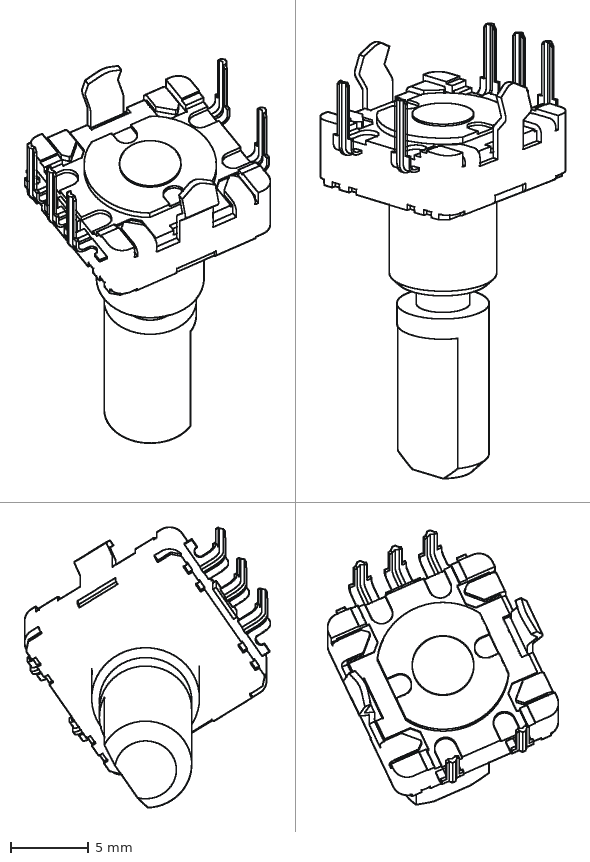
import cadquery as cq
import math


BODY_X = 11.7
BODY_Y = 12.05
BODY_TOP = 4.5
CORNER_RADIUS = 1.0
MID_STEP_Z = 4.35
MID_STEP_HALF = 3.85
DECK_Z = 3.95
DECK_HALF = 3.33
FOOT_HEIGHT = 0.38
FOOT_CHAMFER = 0.5

DISC_RADIUS = 4.3
DISC_FLAT_HALF = 3.67
DISC_TOP = 4.37
DISC_SLOT_DEPTH = 0.2
DISC_SLOT_REACH = 2.32
HUB_RADIUS = 2.0

SLOT_WIDTH = 1.45
DECK_SLOT_X = 2.1
DECK_SLOT_REACH = 4.3
DECK_SLOT_Z = 3.65
NOTCH_WIDTH = 0.62
NOTCH_DEPTH = 0.3
NOTCH_CENTERS = (2.52, 3.97)

SHEET = 0.4
FRAME_HALF_Y = 4.5
WINDOW_HALF_Y = 3.0
WINDOW_FLOOR = 3.1
ARM_TOP = 4.24
ARM_BEND = 0.53
ARM_OUTER_Y = 4.45
ARM_TIP_X = 3.4
ARM_TIP_Y = 3.95
ARM_TIP_WIDTH = 0.15
ARM_OUTER_BEVEL = 0.4
ARM_INNER_BEVEL = 0.93
POCKET_OUTER_Y = 4.68
POCKET_INNER_Y = 2.83
POCKET_INNER_X = 3.14
POCKET_CHAMFER = 0.5
POCKET_FLOOR = 3.8
GAP_FLOOR = 3.51
FRAME_NOTCH_HALF = 1.48
FRAME_NOTCH_TOP = 0.67
FRAME_NOTCH_DEPTH = 0.25
RELIEF_DEPTH = 0.5

TAB_WIDTH = 2.5
TAB_ELBOW_Z = 6.1
TAB_BEND_RADIUS = 0.5
TAB_FLARE_ANGLE = 41
TAB_RETURN_ANGLE = 18
TAB_TOP = 8.0
TAB_TIP_RADIUS = 0.95
TAB_TIP_BEVEL_ANGLE = 30
TAB_SPAN_X = 13.1

LEAD_SHEET = 0.18
LEAD_BOTTOM = 3.0
LEAD_BEND = 0.62
LEAD_TOP = 8.0
LEAD_PITCH = 2.5
FOOT_WIDTH = 1.55
MIDDLE_FOOT_WIDTH = 1.48
FOOT_TOP = 4.2
PIN_WIDTH = 0.9
PIN_SHOULDER = 0.25
BEAD_HEIGHT = 0.18
BEAD_BASE = 0.56
BEAD_TIP = 0.22
GROOVE_WIDTH = 0.5
GROOVE_DEPTH = 0.1
FRONT_LEAD_Y = 7.725
BACK_LEAD_Y = 7.225
CARRIER_END_X = 4.62
CARRIER_END_Y = 6.6
CARRIER_CUT_X = 3.63
CARRIER_CUT_RADIUS = 0.37
PAD_WIDTH = 2.46
PAD_BOTTOM = 2.26
PAD_TOP = 3.53
PAD_THICKNESS = 0.25

BUSHING_RADIUS = 3.5
BUSHING_FLARE = 0.35
BUSHING_ROOT_Z = 2.0
BUSHING_LENGTH = 7.0
BUSHING_CHAMFER = 0.5
NECK_RADIUS = 1.75
SHAFT_START = 8.6
SHAFT_END = 20.0
SHAFT_RADIUS = 3.0
SHAFT_CHAMFER = 1.0
FLAT_START = 10.0
FLAT_Y = 1.5

HALF_X = BODY_X / 2
HALF_Y = BODY_Y / 2
CORE_HALF_X = HALF_X - SHEET
TAB_OUTER_X = TAB_SPAN_X / 2


def box(x0, x1, y0, y1, z0, z1):
    return cq.Workplane("XY").box(x1 - x0, y1 - y0, z1 - z0, centered=False).translate((x0, y0, z0))


def prism(points, z0, z1):
    return cq.Workplane("XY").workplane(offset=z0).polyline(points).close().extrude(z1 - z0)


def cylinder(radius, z0, z1):
    return cq.Workplane("XY").workplane(offset=z0).circle(radius).extrude(z1 - z0)


def round_slot(width, reach, outer, z0, z1):
    """Slot along +X from a round end at x = reach out to x = outer."""
    center = reach + width / 2
    straight = box(center, outer, -width / 2, width / 2, z0, z1)
    return straight.union(cylinder(width / 2, z0, z1).translate((center, 0, 0)))


def at_corners(feature):
    """The four mirror copies of a feature placed in the +X +Y quadrant."""
    copies = feature
    for plane in ("YZ", "XZ"):
        copies = copies.union(copies.mirror(plane))
    return copies


def housing():
    body = box(-HALF_X, HALF_X, -HALF_Y, HALF_Y, 0, BODY_TOP).edges("|Z").fillet(CORNER_RADIUS)
    body = body.cut(box(-MID_STEP_HALF, MID_STEP_HALF, -HALF_Y, HALF_Y, MID_STEP_Z, BODY_TOP))
    body = body.cut(box(-DECK_HALF, DECK_HALF, -HALF_Y, HALF_Y, DECK_Z, BODY_TOP))
    body = body.cut(box(-MID_STEP_HALF, MID_STEP_HALF, -POCKET_OUTER_Y, POCKET_OUTER_Y, DECK_Z, BODY_TOP))
    body = body.cut(box(-HALF_X, HALF_X, -POCKET_INNER_Y, POCKET_INNER_Y, DECK_Z, BODY_TOP))

    pocket = prism(
        [
            (HALF_X, POCKET_OUTER_Y),
            (POCKET_INNER_X, POCKET_OUTER_Y),
            (POCKET_INNER_X, POCKET_INNER_Y + POCKET_CHAMFER),
            (POCKET_INNER_X + POCKET_CHAMFER, POCKET_INNER_Y),
            (HALF_X, POCKET_INNER_Y),
        ],
        POCKET_FLOOR,
        BODY_TOP,
    )
    gap = box(CORE_HALF_X, HALF_X, WINDOW_HALF_Y, POCKET_OUTER_Y, GAP_FLOOR, BODY_TOP)
    deck_slot = round_slot(SLOT_WIDTH, DECK_SLOT_REACH, HALF_Y, DECK_SLOT_Z, BODY_TOP)
    deck_slot = deck_slot.rotate((0, 0, 0), (0, 0, 1), 90).translate((DECK_SLOT_X, 0, 0))
    body = body.cut(at_corners(pocket)).cut(at_corners(gap)).cut(at_corners(deck_slot))

    for center in NOTCH_CENTERS:
        half = NOTCH_WIDTH / 2
        notch = box(center - half, center + half, HALF_Y - NOTCH_DEPTH, HALF_Y, 0, FOOT_HEIGHT)
        body = body.cut(at_corners(notch))

    corner_cut = prism(
        [
            (CORE_HALF_X, FRAME_HALF_Y),
            (HALF_X, FRAME_HALF_Y),
            (HALF_X, HALF_Y),
            (CORE_HALF_X - FOOT_CHAMFER, HALF_Y),
            (CORE_HALF_X, HALF_Y - FOOT_CHAMFER),
        ],
        0,
        FOOT_HEIGHT,
    )
    return body.cut(at_corners(corner_cut))


def disc():
    plate = cylinder(DISC_RADIUS, DECK_Z, DISC_TOP)
    plate = plate.intersect(
        box(-DISC_FLAT_HALF, DISC_FLAT_HALF, -DISC_RADIUS, DISC_RADIUS, DECK_Z, DISC_TOP)
    )
    slot = round_slot(SLOT_WIDTH, DISC_SLOT_REACH, DISC_RADIUS, DISC_TOP - DISC_SLOT_DEPTH, DISC_TOP)
    return plate.cut(slot).cut(slot.mirror("YZ")).union(cylinder(HUB_RADIUS, DECK_Z, BODY_TOP))


def frame_cuts():
    """Windows beside the tab, relief behind it, the bottom bend and its notch, on the +X side."""
    window = box(CORE_HALF_X, HALF_X, -WINDOW_HALF_Y, WINDOW_HALF_Y, WINDOW_FLOOR, BODY_TOP)
    relief = box(
        CORE_HALF_X - RELIEF_DEPTH, CORE_HALF_X, -FRAME_NOTCH_HALF, FRAME_NOTCH_HALF, GAP_FLOOR, DECK_Z
    )
    notch = box(
        HALF_X - FRAME_NOTCH_DEPTH, HALF_X, -FRAME_NOTCH_HALF, FRAME_NOTCH_HALF, 0, FRAME_NOTCH_TOP
    )
    bend = box(CORE_HALF_X, HALF_X, -FRAME_HALF_Y, FRAME_HALF_Y, 0, SHEET)
    bend = bend.cut(
        cq.Workplane("XZ")
        .center(CORE_HALF_X, SHEET)
        .circle(SHEET)
        .extrude(FRAME_HALF_Y, both=True)
    )
    return window.union(relief).union(notch).union(bend)


def frame_arm():
    """Pointed arm bent over the housing edge, in the +X +Y quadrant."""
    arm = prism(
        [
            (HALF_X, ARM_OUTER_Y),
            (ARM_TIP_X + ARM_OUTER_BEVEL, ARM_OUTER_Y),
            (ARM_TIP_X, ARM_TIP_Y + ARM_TIP_WIDTH),
            (ARM_TIP_X, ARM_TIP_Y),
            (ARM_TIP_X + ARM_INNER_BEVEL, WINDOW_HALF_Y),
            (HALF_X, WINDOW_HALF_Y),
        ],
        WINDOW_FLOOR,
        ARM_TOP,
    )
    return arm.faces(">X").edges(">Z").fillet(ARM_BEND)


def tab():
    """Springy snap-in tab on the +X side."""
    outer = TAB_BEND_RADIUS
    inner = TAB_BEND_RADIUS - SHEET
    flare = math.radians(TAB_FLARE_ANGLE)
    lean = math.radians(TAB_RETURN_ANGLE)
    half = TAB_WIDTH / 2

    elbow = (TAB_OUTER_X - outer, TAB_ELBOW_Z)
    knee_x = HALF_X + inner
    offset_x = elbow[0] + (outer + inner) * math.cos(flare)
    offset_z = elbow[1] - (outer + inner) * math.sin(flare)
    knee = (knee_x, offset_z - (offset_x - knee_x) / math.tan(flare))

    def on_bend(center, radius, angle):
        return (center[0] + radius * math.cos(angle), center[1] + radius * math.sin(angle))

    def tip(radius):
        x, z = on_bend(elbow, radius, lean)
        return (x - (TAB_TOP - z) * math.tan(lean), TAB_TOP)

    def knee_arc(radius):
        return [on_bend(knee, radius, math.pi - part * flare) for part in (0, 0.5, 1)]

    outer_knee = knee_arc(inner)
    inner_knee = knee_arc(outer)
    strip = (
        cq.Workplane("XZ")
        .moveTo(HALF_X, WINDOW_FLOOR)
        .lineTo(*outer_knee[0])
        .threePointArc(outer_knee[1], outer_knee[2])
        .lineTo(*on_bend(elbow, outer, -flare))
        .threePointArc(on_bend(elbow, outer, 0), on_bend(elbow, outer, lean))
        .lineTo(*tip(outer))
        .lineTo(*tip(inner))
        .lineTo(*on_bend(elbow, inner, lean))
        .threePointArc(on_bend(elbow, inner, 0), on_bend(elbow, inner, -flare))
        .lineTo(*inner_knee[2])
        .threePointArc(inner_knee[1], inner_knee[0])
        .lineTo(CORE_HALF_X, WINDOW_FLOOR)
        .close()
        .extrude(half, both=True)
    )

    bevel = math.radians(TAB_TIP_BEVEL_ANGLE)
    tip_y = TAB_TIP_RADIUS * math.sin(bevel)
    tip_z = TAB_TOP - TAB_TIP_RADIUS * (1 - math.cos(bevel))
    shoulder = tip_z - (half - tip_y) * math.tan(bevel)
    rounded_end = (
        cq.Workplane("YZ")
        .moveTo(-half, WINDOW_FLOOR)
        .lineTo(-half, shoulder)
        .lineTo(-tip_y, tip_z)
        .threePointArc((0, TAB_TOP), (tip_y, tip_z))
        .lineTo(half, shoulder)
        .lineTo(half, WINDOW_FLOOR)
        .close()
        .extrude(TAB_OUTER_X)
    )
    return strip.intersect(rounded_end)


def lead(x, tip_y, foot_width):
    """Terminal leaving the -Y wall and bent up, with a bead pressed outward along it."""
    face_y = -(tip_y - BEAD_HEIGHT)
    root_y = -HALF_Y + LEAD_SHEET
    bend_y = face_y + LEAD_BEND
    bend_z = LEAD_BOTTOM + LEAD_BEND
    mid_y = bend_y - LEAD_BEND * math.sqrt(0.5)
    mid_z = bend_z - LEAD_BEND * math.sqrt(0.5)

    def path(top):
        return (
            cq.Workplane("YZ")
            .moveTo(root_y, LEAD_BOTTOM)
            .lineTo(bend_y, LEAD_BOTTOM)
            .threePointArc((mid_y, mid_z), (face_y, bend_z))
            .lineTo(face_y, top)
        )

    def sweep(section, top):
        start = cq.Workplane(cq.Plane((0, root_y, 0), (1, 0, 0), (0, -1, 0)))
        return start.polyline(section).close().sweep(path(top))

    sheet_top = LEAD_BOTTOM + LEAD_SHEET
    half_foot = foot_width / 2
    foot = sweep(
        [
            (-half_foot, LEAD_BOTTOM),
            (half_foot, LEAD_BOTTOM),
            (half_foot, sheet_top),
            (-half_foot, sheet_top),
        ],
        FOOT_TOP,
    )
    pin = box(-PIN_WIDTH / 2, PIN_WIDTH / 2, face_y, face_y + LEAD_SHEET, bend_z, LEAD_TOP)
    pin = pin.faces(">Z").edges("|Y").chamfer(PIN_SHOULDER, (PIN_WIDTH - BEAD_BASE) / 2)
    bead = sweep(
        [
            (-BEAD_BASE / 2, LEAD_BOTTOM),
            (-BEAD_TIP / 2, LEAD_BOTTOM - BEAD_HEIGHT),
            (BEAD_TIP / 2, LEAD_BOTTOM - BEAD_HEIGHT),
            (BEAD_BASE / 2, LEAD_BOTTOM),
        ],
        LEAD_TOP,
    )
    groove = sweep(
        [(-GROOVE_WIDTH / 2, sheet_top), (0, sheet_top - GROOVE_DEPTH), (GROOVE_WIDTH / 2, sheet_top)],
        LEAD_TOP,
    )
    return foot.union(pin).union(bead).cut(groove).translate((x, 0, 0))


def carrier():
    """Flat remnant of the terminal strip beside the +X front terminal, with its round cut-out."""
    sheet_top = LEAD_BOTTOM + LEAD_SHEET
    start_x = LEAD_PITCH + PIN_WIDTH / 2
    root_y = -HALF_Y + LEAD_SHEET
    strip = box(start_x, CARRIER_END_X, -CARRIER_END_Y, root_y, LEAD_BOTTOM, sheet_top)
    hole = cylinder(CARRIER_CUT_RADIUS, LEAD_BOTTOM, sheet_top)
    return strip.cut(hole.translate((CARRIER_CUT_X, -CARRIER_END_Y, 0)))


def bushing_and_shaft():
    profile = (
        cq.Workplane("XZ")
        .moveTo(0, BUSHING_ROOT_Z)
        .lineTo(BUSHING_RADIUS + BUSHING_FLARE, BUSHING_ROOT_Z)
        .lineTo(BUSHING_RADIUS + BUSHING_FLARE, 0)
        .radiusArc((BUSHING_RADIUS, -BUSHING_FLARE), -BUSHING_FLARE)
        .lineTo(BUSHING_RADIUS, -BUSHING_LENGTH + BUSHING_CHAMFER)
        .lineTo(BUSHING_RADIUS - BUSHING_CHAMFER, -BUSHING_LENGTH)
        .lineTo(NECK_RADIUS, -BUSHING_LENGTH)
        .lineTo(NECK_RADIUS, -SHAFT_START)
        .lineTo(SHAFT_RADIUS, -SHAFT_START)
        .lineTo(SHAFT_RADIUS, -SHAFT_END + SHAFT_CHAMFER)
        .lineTo(SHAFT_RADIUS - SHAFT_CHAMFER, -SHAFT_END)
        .lineTo(0, -SHAFT_END)
        .close()
    )
    turned = profile.revolve(360, (0, 0, 0), (0, 1, 0))
    flat = box(-SHAFT_RADIUS, SHAFT_RADIUS, FLAT_Y, SHAFT_RADIUS, -SHAFT_END, -FLAT_START)
    return turned.cut(flat)


result = housing()
for cuts in (frame_cuts(), frame_cuts().mirror("YZ")):
    result = result.cut(cuts)
result = result.union(disc()).union(at_corners(frame_arm()))
for side_tab in (tab(), tab().mirror("YZ")):
    result = result.union(side_tab)

pad = box(-PAD_WIDTH / 2, PAD_WIDTH / 2, -HALF_Y - PAD_THICKNESS, -HALF_Y, PAD_BOTTOM, PAD_TOP)
result = result.union(pad).union(carrier()).union(carrier().mirror("YZ"))
result = result.union(lead(0, FRONT_LEAD_Y, MIDDLE_FOOT_WIDTH))
for lead_x in (-LEAD_PITCH, LEAD_PITCH):
    result = result.union(lead(lead_x, FRONT_LEAD_Y, FOOT_WIDTH))
    result = result.union(lead(lead_x, BACK_LEAD_Y, FOOT_WIDTH).mirror("XZ"))
result = result.union(bushing_and_shaft())